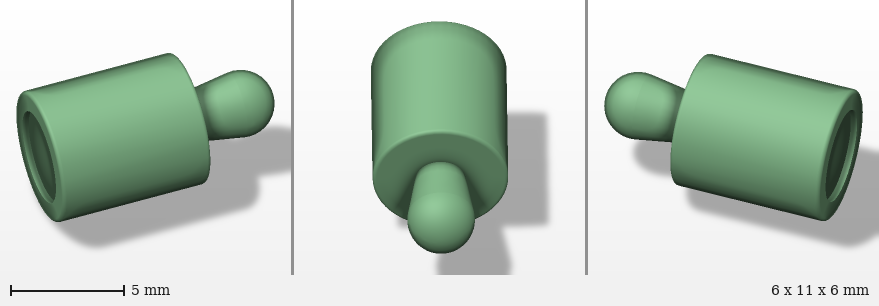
import cadquery as cq
import math

total_length = 11.0
body_diameter = 6.0
body_length = 7.0
edge_radius = 0.16

recess_diameter = 4.2
recess_depth = 0.3

ball_radius = 1.5
neck_half_angle = math.radians(9.0)

front_y = -total_length / 2
shoulder_y = front_y + body_length
tip_y = total_length / 2
ball_centre_y = tip_y - ball_radius


def make_body():
    """Cylinder with both outer rims rounded."""
    body = cq.Workplane("XZ", origin=(0, shoulder_y, 0)).circle(body_diameter / 2).extrude(body_length)
    return body.faces("<Y or >Y").edges().fillet(edge_radius)


def make_pin():
    """Revolved neck and ball, standing on the +Y end of the body."""
    tangent_radius = ball_radius * math.cos(neck_half_angle)
    tangent_y = ball_centre_y - ball_radius * math.sin(neck_half_angle)
    neck_root_radius = tangent_radius - (tangent_y - shoulder_y) * math.tan(neck_half_angle)
    arc_middle = ball_radius * math.sqrt(0.5)
    profile = (
        cq.Workplane("XY")
        .moveTo(0, shoulder_y)
        .lineTo(neck_root_radius, shoulder_y)
        .lineTo(tangent_radius, tangent_y)
        .threePointArc((arc_middle, ball_centre_y + arc_middle), (0, tip_y))
        .close()
    )
    return profile.revolve(360, (0, 0, 0), (0, 1, 0))


def make_recess():
    """Disc of material removed from the -Y end face."""
    floor_y = front_y + recess_depth
    return cq.Workplane("XZ", origin=(0, floor_y, 0)).circle(recess_diameter / 2).extrude(recess_depth)


result = make_body().union(make_pin()).cut(make_recess())